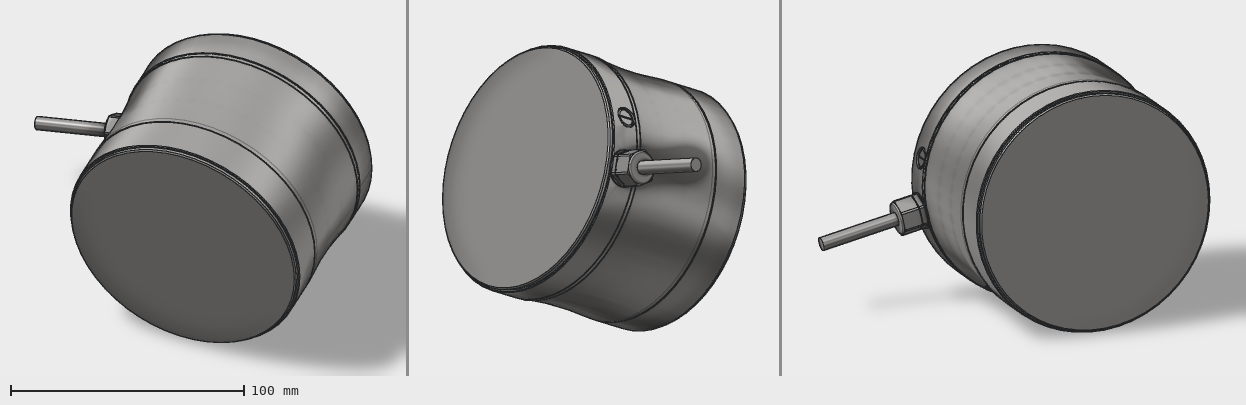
import cadquery as cq
import math

TOTAL_DEPTH = 80.7
REAR_RADIUS = 109.0 / 2
FRONT_RADIUS = 107.1 / 2
STEP_DEPTH = 2.0
FRONT_RING_END = 18.9
REAR_RING_START = 65.2
REAR_RING_END = TOTAL_DEPTH - STEP_DEPTH
SLEEVE_REAR_RADIUS = 54.1
WAIST_RADIUS = 52.7
FRONT_COVER_RADIUS = 52.5
REAR_COVER_RADIUS = 53.5
COVER_CHAMFER = 0.6
RING_CHAMFER = 0.38

GLAND_ANGLE = 13.0
GLAND_Y = 71.1
SEAT_DISTANCE = 53.8
FLANGE_DISTANCE = 54.5
NUT_DISTANCE = 57.0
JOINT_GROOVE = 0.3
COLLAR_DISTANCE = 65.2
NUT_END_DISTANCE = 66.0
CABLE_END_DISTANCE = 101.1
HEX_FLATS = 14.3
HEX_CORNER_RADIUS = 8.0
FLANGE_RADIUS = 16.1 / 2
COLLAR_RADIUS = HEX_FLATS / 2
COLLAR_FILLET = 0.69
CABLE_RADIUS = 2.9

SCREW_ANGLE = 12.0
SCREW_Y = 70.4
SCREW_RADIUS = 4.3
SCREW_CHAMFER = 0.8
SCREW_MOUTH_RADIUS = 4.8
SCREW_MOUTH_DISTANCE = 53.5
SCREW_FLOOR_DISTANCE = 49.2
SCREW_TOP_DISTANCE = 54.1
SLOT_WIDTH = 0.5
SLOT_DEPTH = 0.9


def disc(radius, start, end):
    """Cylinder about the Y axis from y = start to y = end."""
    return cq.Workplane("XZ", origin=(0, start, 0)).circle(radius).extrude(start - end)


def radial_plane(angle, y, distance):
    """Workplane facing outwards from the housing axis; angle is above -X, local X runs along Y."""
    a = math.radians(angle)
    outward = (-math.cos(a), 0, math.sin(a))
    origin = (distance * outward[0], y, distance * outward[2])
    return cq.Workplane(cq.Plane(origin=origin, xDir=(0, 1, 0), normal=outward))


def radial_cylinder(angle, y, radius, start, end):
    return radial_plane(angle, y, start).circle(radius).extrude(end - start)


def gland_cylinder(radius, start, end):
    return radial_cylinder(-GLAND_ANGLE, GLAND_Y, radius, start, end)


def gland_hexagon(start, end):
    """Hexagonal prism on the gland axis: flats face +Y and -Y, corners turned round."""
    corner_diameter = HEX_FLATS / math.cos(math.radians(30))
    hexagon = (
        radial_plane(-GLAND_ANGLE, GLAND_Y, start)
        .transformed(rotate=(0, 0, 90))
        .polygon(6, corner_diameter)
        .extrude(end - start)
    )
    return hexagon.intersect(gland_cylinder(HEX_CORNER_RADIUS, start, end))


gland_pocket = gland_cylinder(FLANGE_RADIUS, SEAT_DISTANCE, NUT_DISTANCE)
screw_bore = radial_cylinder(SCREW_ANGLE, SCREW_Y, SCREW_RADIUS, SCREW_FLOOR_DISTANCE, REAR_RADIUS)
screw_mouth = radial_cylinder(SCREW_ANGLE, SCREW_Y, SCREW_MOUTH_RADIUS, SCREW_MOUTH_DISTANCE, REAR_RADIUS)
screw_hole = screw_bore.union(screw_mouth)


def make_front_cover():
    return disc(FRONT_COVER_RADIUS, 0, STEP_DEPTH).faces("<Y").chamfer(COVER_CHAMFER)


def make_front_ring():
    ring = disc(FRONT_RADIUS, STEP_DEPTH, FRONT_RING_END)
    return ring.faces("<Y or >Y").chamfer(RING_CHAMFER)


def make_sleeve():
    """Waisted body with a cylindrical rim at each end."""
    front_rim_end = FRONT_RING_END + STEP_DEPTH
    rear_rim_start = REAR_RING_START - STEP_DEPTH
    waist_y = (front_rim_end + rear_rim_start) / 2
    profile = (
        cq.Workplane("XY")
        .moveTo(0, FRONT_RING_END)
        .lineTo(FRONT_RADIUS, FRONT_RING_END)
        .lineTo(FRONT_RADIUS, front_rim_end)
        .threePointArc((WAIST_RADIUS, waist_y), (SLEEVE_REAR_RADIUS, rear_rim_start))
        .lineTo(REAR_RADIUS, rear_rim_start)
        .lineTo(REAR_RADIUS, REAR_RING_START)
        .lineTo(0, REAR_RING_START)
        .close()
    )
    return profile.revolve(360, (0, 0, 0), (0, 1, 0)).cut(gland_pocket)


def make_rear_ring():
    ring = disc(REAR_RADIUS, REAR_RING_START, REAR_RING_END)
    return ring.faces("<Y or >Y").chamfer(RING_CHAMFER).cut(gland_pocket).cut(screw_hole)


def make_rear_cover():
    return disc(REAR_COVER_RADIUS, REAR_RING_END, TOTAL_DEPTH).faces(">Y").chamfer(COVER_CHAMFER)


def make_gland_body():
    flange = gland_cylinder(FLANGE_RADIUS, SEAT_DISTANCE, FLANGE_DISTANCE)
    hexagon = gland_hexagon(FLANGE_DISTANCE, NUT_DISTANCE - JOINT_GROOVE)
    neck = gland_cylinder(COLLAR_RADIUS, FLANGE_DISTANCE, NUT_DISTANCE)
    bore = gland_cylinder(CABLE_RADIUS, SEAT_DISTANCE, NUT_DISTANCE)
    return flange.union(hexagon).union(neck).cut(bore)


def make_clamping_nut():
    collar = gland_cylinder(COLLAR_RADIUS, COLLAR_DISTANCE, NUT_END_DISTANCE)
    collar = collar.faces("<X").edges().fillet(COLLAR_FILLET)
    bore = gland_cylinder(CABLE_RADIUS, NUT_DISTANCE, NUT_END_DISTANCE)
    return gland_hexagon(NUT_DISTANCE, COLLAR_DISTANCE).union(collar).cut(bore)


def make_cable():
    return gland_cylinder(CABLE_RADIUS, SEAT_DISTANCE, CABLE_END_DISTANCE)


def make_screw():
    """Flat-ended plug with a chamfered head and a slot along Y."""
    screw = radial_cylinder(SCREW_ANGLE, SCREW_Y, SCREW_RADIUS, SCREW_FLOOR_DISTANCE, SCREW_TOP_DISTANCE)
    screw = screw.faces("<X").chamfer(SCREW_CHAMFER)
    slot = (
        radial_plane(SCREW_ANGLE, SCREW_Y, SCREW_TOP_DISTANCE)
        .rect(2 * SCREW_RADIUS, SLOT_WIDTH)
        .extrude(-SLOT_DEPTH)
    )
    return screw.cut(slot)


front_cover = make_front_cover()
front_ring = make_front_ring()
sleeve = make_sleeve()
rear_ring = make_rear_ring()
rear_cover = make_rear_cover()
gland_body = make_gland_body()
clamping_nut = make_clamping_nut()
cable = make_cable()
screw = make_screw()

result = cq.Compound.makeCompound([
    front_cover.val(),
    front_ring.val(),
    sleeve.val(),
    rear_ring.val(),
    rear_cover.val(),
    gland_body.val(),
    clamping_nut.val(),
    cable.val(),
    screw.val(),
])